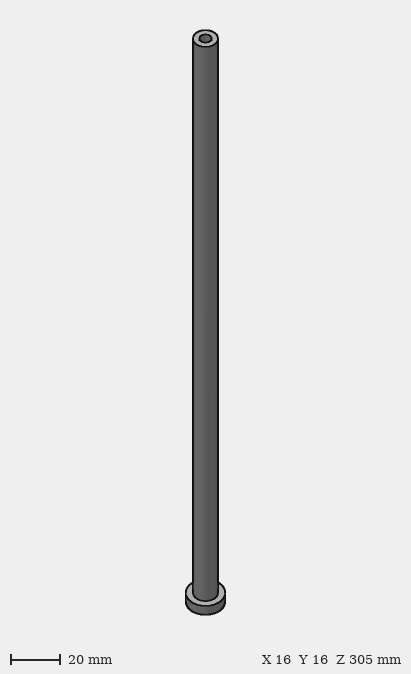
import cadquery as cq

total_length = 305.0
head_diameter = 16.0
head_height = 5.0
shank_diameter = 10.0
bore_diameter = 5.0

head = cq.Workplane("XY").circle(head_diameter / 2).extrude(head_height)

shank = cq.Workplane("XY").circle(shank_diameter / 2).extrude(total_length)

bore = cq.Workplane("XY").circle(bore_diameter / 2).extrude(total_length)

result = head.union(shank).cut(bore)